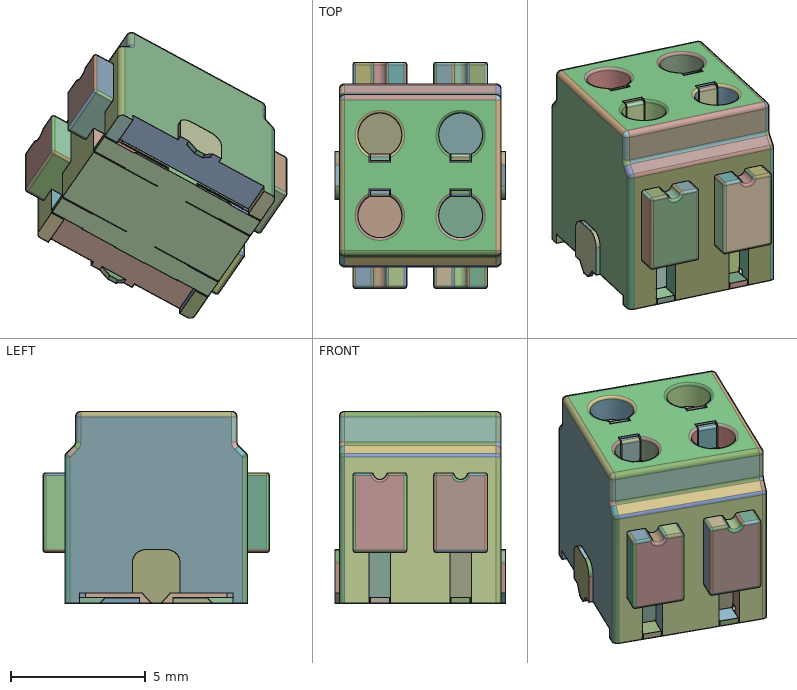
import cadquery as cq

body_width = 6.015
body_height = 7.13
lower_depth = 6.795
upper_depth = 6.0
shoulder_top = 5.91
shoulder_size = (lower_depth - upper_depth) / 2
body_round = 0.2
edge_round = 0.1

pole_pitch = 3.0
pole_offset = pole_pitch / 2
pole_sides = [(x_side, y_side) for x_side in (-1, 1) for y_side in (-1, 1)]

hole_radius = 0.815
hole_depth = 1.0
hole_floor = body_height - hole_depth

contact_width = 0.705
contact_thickness = 0.23
slot_width = 0.79
blade_face = 0.71
blade_drop = 0.05
keyway_reach = 1.0

overall_depth = 8.4
button_width = 2.0
button_bottom = 1.89
button_top = 4.85
button_root = 0.34
groove_radius = 0.24

slot_depth = 0.77
foot_inner_y = 0.63
pad_outer_y = 2.1
pad_height = 0.19
pad_slope = 0.19
pad_side = 0.025

recess_half_depth = 2.86
recess_height = 0.38
recess_inner_x = pole_offset + slot_width / 2

overall_width = 6.34
tab_thickness = (overall_width - body_width) / 2
tab_half_depth = 0.89
tab_top = 2.0
tab_corner = 0.5
tip_half_top = 0.52
tip_half_bottom = 0.18


def block(x_range, y_range, z_range):
    """Box between two limits on each axis."""
    sizes = [high - low for low, high in (x_range, y_range, z_range)]
    corner = cq.Vector(x_range[0], y_range[0], z_range[0])
    return cq.Workplane("XY").box(*sizes, centered=False).translate(corner)


def make_housing():
    """Shouldered block with rounded edges everywhere except at the bottom."""
    low_y = lower_depth / 2
    high_y = upper_depth / 2
    shoulder_bottom = shoulder_top - shoulder_size
    profile = [
        (-low_y, 0), (low_y, 0), (low_y, shoulder_bottom), (high_y, shoulder_top),
        (high_y, body_height), (-high_y, body_height), (-high_y, shoulder_top), (-low_y, shoulder_bottom),
    ]
    housing = cq.Workplane("YZ").polyline(profile).close().extrude(body_width / 2, both=True)
    housing = housing.edges("|X").edges("not <Z").fillet(body_round)
    return housing.faces("<X or >X").edges("not <Z").fillet(body_round)


def make_button():
    """Front button of a pole at X = 0, with a finger groove along its top."""
    half_width = button_width / 2
    root_y = -lower_depth / 2 + button_root
    button = block((-half_width, half_width), (-overall_depth / 2, root_y), (button_bottom, button_top))
    groove = (
        cq.Workplane("XZ", origin=(0, root_y, button_top))
        .circle(groove_radius)
        .extrude(overall_depth)
    )
    return button.cut(groove).edges("not >Y").fillet(edge_round)


def make_hole():
    """Wire hole of a front pole at X = 0, with a rounded mouth and a keyway."""
    hole = (
        cq.Workplane("XY", origin=(0, -pole_offset, hole_floor))
        .circle(hole_radius)
        .extrude(hole_depth)
    )
    mouth = (
        cq.Workplane("XZ", origin=(0, -pole_offset, 0))
        .moveTo(0, body_height)
        .lineTo(hole_radius + edge_round, body_height)
        .radiusArc((hole_radius, body_height - edge_round), -edge_round)
        .lineTo(0, body_height - edge_round)
        .close()
        .revolve(360, (0, 0), (0, 1))
    )
    half_width = slot_width / 2
    keyway = block(
        (-half_width, half_width),
        (-pole_offset, -pole_offset + keyway_reach),
        (hole_floor, body_height),
    )
    return hole.union(mouth).union(keyway)


def make_blade():
    """Contact blade standing on the floor of a front wire hole at X = 0."""
    half_width = contact_width / 2
    face_y = -pole_offset + blade_face
    blade = block(
        (-half_width, half_width),
        (face_y, face_y + contact_thickness),
        (hole_floor, body_height - blade_drop),
    )
    return blade.edges(">Z and <Y").fillet(edge_round)


def make_slot():
    """Opening below a front button at X = 0 and the channel for its foot."""
    half_width = slot_width / 2
    front_y = -lower_depth / 2
    opening = block((-half_width, half_width), (front_y, front_y + slot_depth), (0, button_bottom))
    channel = block((-half_width, half_width), (front_y, -foot_inner_y), (0, contact_thickness))
    return opening.union(channel)


def make_foot():
    """Contact foot of a front pole at X = 0, with a wider low pad along it."""
    half_width = contact_width / 2
    strip = block(
        (-half_width, half_width),
        (-lower_depth / 2, -foot_inner_y),
        (0, contact_thickness),
    )
    pad = (
        cq.Workplane("YZ")
        .moveTo(-pad_outer_y, 0)
        .lineTo(-pad_outer_y + pad_slope, pad_height)
        .lineTo(-foot_inner_y, pad_height)
        .lineTo(-foot_inner_y, 0)
        .close()
        .extrude(half_width + pad_side, both=True)
    )
    return strip.union(pad)


def make_tab():
    """Left side tab with rounded shoulders and a tapered lower tip."""
    tab = (
        cq.Workplane("YZ", origin=(-overall_width / 2, 0, 0))
        .moveTo(-tip_half_bottom, 0)
        .lineTo(tip_half_bottom, 0)
        .lineTo(tip_half_top, recess_height)
        .lineTo(tab_half_depth, recess_height)
        .lineTo(tab_half_depth, tab_top)
        .lineTo(-tab_half_depth, tab_top)
        .lineTo(-tab_half_depth, recess_height)
        .lineTo(-tip_half_top, recess_height)
        .close()
        .extrude(tab_thickness)
    )
    return tab.edges("|X and >Z").fillet(tab_corner)


def at_pole(feature, x_side, y_side):
    """Place a front feature drawn at X = 0 on one of the four poles."""
    if y_side > 0:
        feature = feature.mirror("XZ")
    return feature.translate((x_side * pole_offset, 0, 0))


result = make_housing()

recess = block(
    (-body_width / 2, -recess_inner_x),
    (-recess_half_depth, recess_half_depth),
    (0, recess_height),
)
result = result.cut(recess).cut(recess.mirror("YZ"))

for cutter in (make_hole(), make_slot()):
    for x_side, y_side in pole_sides:
        result = result.cut(at_pole(cutter, x_side, y_side))

for addition in (make_blade(), make_foot(), make_button()):
    for x_side, y_side in pole_sides:
        result = result.union(at_pole(addition, x_side, y_side))

tab = make_tab()
result = result.union(tab).union(tab.mirror("YZ"))